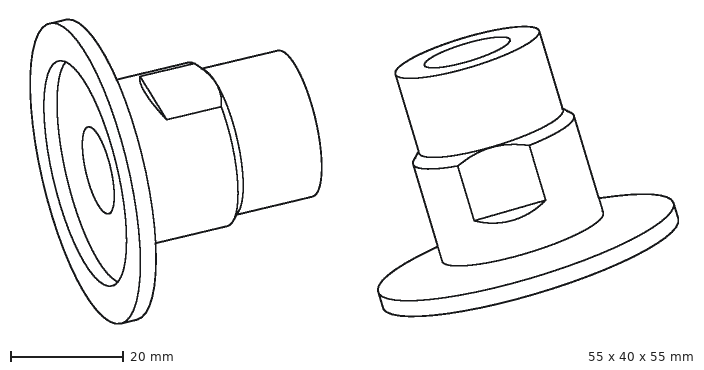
import cadquery as cq
import math

total_length = 40.0
flange_diameter = 55.0
flange_thickness = 5.0
flange_rim_thickness = 3.0
flange_cone_angle = 15.0
recess_diameter = 41.2
recess_depth = 2.5
bore_diameter = 15.9
body_diameter = 30.0
spigot_diameter = 26.8
spigot_length = 15.0
flat_width = 26.9
flat_start = 13.0
flat_runout_angle = 45.0

flange_radius = flange_diameter / 2
cone_height = flange_thickness - flange_rim_thickness
cone_small_radius = flange_radius - cone_height / math.tan(math.radians(flange_cone_angle))
body_radius = body_diameter / 2
spigot_radius = spigot_diameter / 2
shoulder_end = total_length - spigot_length
shoulder_chamfer = body_radius - spigot_radius
flat_height = flat_width / 2
flat_depth = body_radius - flat_height
runout_length = flat_depth / math.tan(math.radians(flat_runout_angle))


def make_turned_body():
    """Flange, body and spigot as one revolved profile, bored through."""
    bore_radius = bore_diameter / 2
    recess_radius = recess_diameter / 2
    profile = [
        (bore_radius, recess_depth),
        (recess_radius, recess_depth),
        (recess_radius, 0),
        (flange_radius, 0),
        (flange_radius, flange_rim_thickness),
        (cone_small_radius, flange_thickness),
        (body_radius, flange_thickness),
        (body_radius, shoulder_end - shoulder_chamfer),
        (spigot_radius, shoulder_end),
        (spigot_radius, total_length),
        (bore_radius, total_length),
    ]
    return cq.Workplane("XY").polyline(profile).close().revolve(360, (0, 0, 0), (0, 1, 0))


def make_flat_cutter():
    """Prism that removes the +Z wrench flat and its sloped run-out."""
    section = [
        (flat_start - runout_length, body_radius),
        (flat_start, flat_height),
        (shoulder_end, flat_height),
        (shoulder_end, body_radius),
    ]
    return cq.Workplane("YZ").polyline(section).close().extrude(body_radius, both=True)


def cut_wrench_flats(body):
    """Cut the two opposite flats, on +Z and -Z."""
    cutter = make_flat_cutter()
    for side_angle in (0, 180):
        body = body.cut(cutter.rotate((0, 0, 0), (0, 1, 0), side_angle))
    return body


result = cut_wrench_flats(make_turned_body())